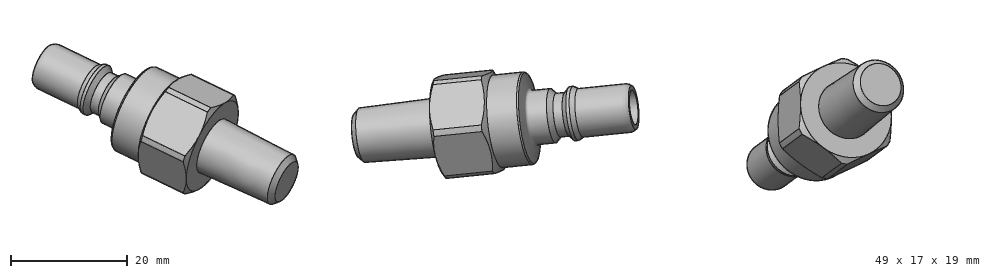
import cadquery as cq
import math

total_length = 49.0
lip_mid = 0.45
lip_end = 0.95
bead_start = 9.35
bead_crest_start = 10.25
bead_crest_end = 10.85
groove_start = 11.7
groove_end = 13.35
neck_start = 14.25
neck_end = 17.35
collar_start = 17.9
collar_face_end = 18.4
collar_rim_end = 18.7
nut_start = 24.0
nut_end = 34.0
tail_chamfer_start = 48.0

lip_diameter = 7.6
lip_mid_diameter = 8.15
plug_diameter = 8.45
bead_diameter = 9.4
groove_diameter = 7.6
collar_root_diameter = 10.55
collar_face_diameter = 15.7
collar_diameter = 16.0
tail_root_diameter = 10.25
tail_diameter = 9.45
tail_end_diameter = 7.6

across_flats = 17.0
nut_corner_diameter = 19.0
nut_rear_diameter = across_flats
nut_front_chamfer = 0.85
nut_rear_chamfer = 0.65

bore_diameter = 6.0
bore_depth = 11.75
poppet_diameter = 5.3
cone_top_diameter = 3.45
stem_diameter = 2.5
tip_diameter = 0.5
poppet_rim_height = 1.0
cone_height = 1.0
stem_fillet = (cone_top_diameter - stem_diameter) / 2
tip_depth = 1.95
tip_height = 0.75


def revolve_about_x(profile):
    return profile.close().revolve(360, (0, 0, 0), (1, 0, 0))


def make_body():
    fillet_rise = (collar_root_diameter - bead_diameter) / 2
    fillet_run = collar_start - neck_end
    fillet_middle = (
        neck_end + fillet_run * math.sin(math.pi / 4),
        bead_diameter / 2 + fillet_rise * (1 - math.cos(math.pi / 4)),
    )
    profile = (
        cq.Workplane("XY")
        .lineTo(0, lip_diameter / 2)
        .lineTo(lip_mid, lip_mid_diameter / 2)
        .lineTo(lip_end, plug_diameter / 2)
        .lineTo(bead_start, plug_diameter / 2)
        .lineTo(bead_crest_start, bead_diameter / 2)
        .lineTo(bead_crest_end, bead_diameter / 2)
        .lineTo(groove_start, groove_diameter / 2)
        .lineTo(groove_end, groove_diameter / 2)
        .lineTo(neck_start, bead_diameter / 2)
        .lineTo(neck_end, bead_diameter / 2)
        .threePointArc(fillet_middle, (collar_start, collar_root_diameter / 2))
        .lineTo(collar_face_end, collar_face_diameter / 2)
        .lineTo(collar_rim_end, collar_diameter / 2)
        .lineTo(nut_start, collar_diameter / 2)
        .lineTo(nut_end, tail_root_diameter / 2)
        .lineTo(tail_chamfer_start, tail_diameter / 2)
        .lineTo(total_length, tail_end_diameter / 2)
        .lineTo(total_length, 0)
    )
    return revolve_about_x(profile)


def make_nut():
    nut_length = nut_end - nut_start
    hexagon = (
        cq.Workplane("YZ", origin=(nut_start, 0, 0))
        .polygon(6, across_flats, circumscribed=True)
        .extrude(nut_length)
    )
    envelope = revolve_about_x(
        cq.Workplane("XY")
        .moveTo(nut_start, 0)
        .lineTo(nut_start, collar_diameter / 2)
        .lineTo(nut_start + nut_front_chamfer, nut_corner_diameter / 2)
        .lineTo(nut_end - nut_rear_chamfer, nut_corner_diameter / 2)
        .lineTo(nut_end, nut_rear_diameter / 2)
        .lineTo(nut_end, 0)
    )
    return hexagon.intersect(envelope)


def make_bore():
    return cq.Workplane("YZ").circle(bore_diameter / 2).extrude(bore_depth)


def make_poppet():
    rim = bore_depth - poppet_rim_height
    cone_top = rim - cone_height
    stem_root = cone_top - stem_fillet
    shoulder = tip_depth + tip_height
    inset = stem_fillet * math.cos(math.pi / 4)
    fillet_middle = (stem_root + inset, cone_top_diameter / 2 - inset)
    return revolve_about_x(
        cq.Workplane("XY")
        .moveTo(bore_depth, 0)
        .lineTo(bore_depth, poppet_diameter / 2)
        .lineTo(rim, poppet_diameter / 2)
        .lineTo(cone_top, cone_top_diameter / 2)
        .threePointArc(fillet_middle, (stem_root, stem_diameter / 2))
        .lineTo(shoulder, stem_diameter / 2)
        .lineTo(tip_depth, tip_diameter / 2)
        .lineTo(tip_depth, 0)
    )


result = make_body().union(make_nut()).cut(make_bore()).union(make_poppet())